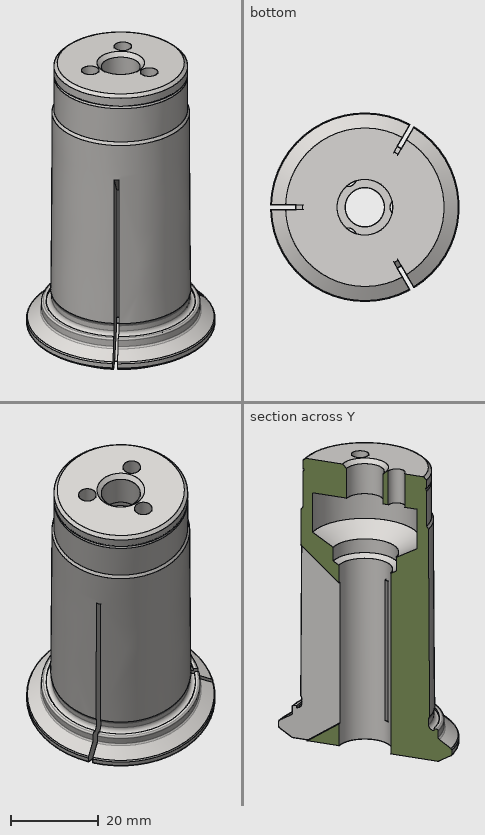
import cadquery as cq
import math

LENGTH = 70.0
FLANGE_RADIUS = 21.5

FLANGE_FACE_RADIUS = 18.05
FLANGE_RIM_BOTTOM = 1.95
FLANGE_RIM_TOP = 3.8
RIM_EDGE_WIDTH = 0.2
RIM_EDGE_HEIGHT = 0.35
COLLAR_RADIUS = 36.2 / 2
COLLAR_BOTTOM = 5.75
COLLAR_FILLET = 0.55
COLLAR_TOP = 8.05
COLLAR_ROUND = 0.4

NECK_RADIUS = 15.75
NECK_BOTTOM = 8.8
NECK_FILLET = 1.25
NECK_TOP = 10.15
NECK_LIP_WIDTH = 0.1
NECK_LIP_HEIGHT = 0.3

BODY_BOTTOM_RADIUS = 32.0 / 2
BODY_BOTTOM = 10.85
BODY_TOP_RADIUS = 31.4 / 2
BODY_TOP = 57.2
SHOULDER_HEIGHT = 0.7

HEAD_RADIUS = 30.5 / 2
HEAD_TOP_RADIUS = 29.0 / 2
HEAD_CHAMFER_HEIGHT = 0.7
HEAD_GROOVE_RADIUS = 15.0
HEAD_GROOVE_TOP = 67.2
HEAD_GROOVE_BOTTOM = 66.6

GRIP_RADIUS = 12.7 / 2
GRIP_TOP = 44.8
RELIEF_RADIUS = 15.5 / 2
RELIEF_TOP = 49.0
CHAMBER_RADIUS = 25.6 / 2
CHAMBER_TOP = 61.6
FUNNEL_ANGLE = 30.0
SCREW_RADIUS = 8.9 / 2
SCREW_CHAMFER = 1.0

COOLANT_COUNT = 3
COOLANT_DIAMETER = 4.0
COOLANT_CIRCLE_RADIUS = 7.8

SLOT_COUNT = 3
SLOT_FIRST_ANGLE = 60.0
SLOT_WIDTH = 1.05
SLOT_TOP = 48.3
SLOT_INNER_BOTTOM = 5.5
SLOT_INNER_TOP = 40.3
SLOT_FLOOR_RADIUS = 28.5 / 2
SLOT_ROOF_RADIUS = 15.8
SLOT_OUTER_RADIUS = FLANGE_RADIUS + 0.7


def revolve(outline):
    """Turn a closed outline of radius and height about the Z axis."""
    return outline.revolve(360, (0, 0, 0), (0, 1, 0))


def make_outside():
    rim_inner = FLANGE_RADIUS - RIM_EDGE_WIDTH
    flank_angle = math.atan2(COLLAR_BOTTOM - FLANGE_RIM_TOP, rim_inner - COLLAR_RADIUS)
    tangent_length = COLLAR_FILLET * math.tan((math.pi / 2 - flank_angle) / 2)
    outline = (
        cq.Workplane("XZ")
        .lineTo(FLANGE_FACE_RADIUS, 0)
        .lineTo(rim_inner, FLANGE_RIM_BOTTOM)
        .lineTo(FLANGE_RADIUS, FLANGE_RIM_BOTTOM + RIM_EDGE_HEIGHT)
        .lineTo(FLANGE_RADIUS, FLANGE_RIM_TOP - RIM_EDGE_HEIGHT)
        .lineTo(rim_inner, FLANGE_RIM_TOP)
        .lineTo(
            COLLAR_RADIUS + tangent_length * math.cos(flank_angle),
            COLLAR_BOTTOM - tangent_length * math.sin(flank_angle),
        )
        .tangentArcPoint((COLLAR_RADIUS, COLLAR_BOTTOM + tangent_length), relative=False)
        .lineTo(COLLAR_RADIUS, COLLAR_TOP - COLLAR_ROUND)
        .tangentArcPoint((COLLAR_RADIUS - COLLAR_ROUND, COLLAR_TOP), relative=False)
        .lineTo(NECK_RADIUS + NECK_FILLET, COLLAR_TOP)
        .lineTo(NECK_RADIUS + NECK_FILLET, NECK_BOTTOM - NECK_FILLET)
        .radiusArc((NECK_RADIUS, NECK_BOTTOM), NECK_FILLET)
        .lineTo(NECK_RADIUS, NECK_TOP)
        .lineTo(NECK_RADIUS + NECK_LIP_WIDTH, NECK_TOP + NECK_LIP_HEIGHT)
        .lineTo(BODY_BOTTOM_RADIUS, BODY_BOTTOM)
        .lineTo(BODY_TOP_RADIUS, BODY_TOP)
        .lineTo(HEAD_RADIUS, BODY_TOP + SHOULDER_HEIGHT)
        .lineTo(HEAD_RADIUS, HEAD_GROOVE_BOTTOM)
        .lineTo(HEAD_GROOVE_RADIUS, HEAD_GROOVE_TOP)
        .lineTo(HEAD_RADIUS, HEAD_GROOVE_TOP)
        .lineTo(HEAD_RADIUS, LENGTH - HEAD_CHAMFER_HEIGHT)
        .lineTo(HEAD_TOP_RADIUS, LENGTH)
        .lineTo(0, LENGTH)
        .close()
    )
    return revolve(outline)


def make_bore():
    slope = math.tan(math.radians(FUNNEL_ANGLE))
    step_rise = (RELIEF_RADIUS - GRIP_RADIUS) * slope
    funnel_rise = (CHAMBER_RADIUS - RELIEF_RADIUS) * slope
    points = [
        (0, 0),
        (GRIP_RADIUS, 0),
        (GRIP_RADIUS, GRIP_TOP),
        (RELIEF_RADIUS, GRIP_TOP + step_rise),
        (RELIEF_RADIUS, RELIEF_TOP),
        (CHAMBER_RADIUS, RELIEF_TOP + funnel_rise),
        (CHAMBER_RADIUS, CHAMBER_TOP),
        (SCREW_RADIUS, CHAMBER_TOP),
        (SCREW_RADIUS, LENGTH - SCREW_CHAMFER),
        (SCREW_RADIUS + SCREW_CHAMFER, LENGTH),
        (0, LENGTH),
    ]
    return revolve(cq.Workplane("XZ").polyline(points).close())


def make_coolant_holes():
    return (
        cq.Workplane("XY", origin=(0, 0, CHAMBER_TOP))
        .polarArray(COOLANT_CIRCLE_RADIUS, 0, 360, COOLANT_COUNT)
        .circle(COOLANT_DIAMETER / 2)
        .extrude(LENGTH - CHAMBER_TOP)
    )


def make_slot(angle):
    return (
        cq.Workplane("XZ")
        .moveTo(0, SLOT_INNER_BOTTOM)
        .lineTo(GRIP_RADIUS, SLOT_INNER_BOTTOM)
        .lineTo(SLOT_FLOOR_RADIUS, 0)
        .lineTo(SLOT_OUTER_RADIUS, 0)
        .lineTo(SLOT_OUTER_RADIUS, SLOT_TOP)
        .lineTo(SLOT_ROOF_RADIUS, SLOT_TOP)
        .lineTo(GRIP_RADIUS, SLOT_INNER_TOP)
        .lineTo(0, SLOT_INNER_TOP)
        .close()
        .extrude(SLOT_WIDTH / 2, both=True)
        .rotate((0, 0, 0), (0, 0, 1), angle)
    )


result = make_outside().cut(make_bore()).cut(make_coolant_holes())
for index in range(SLOT_COUNT):
    result = result.cut(make_slot(SLOT_FIRST_ANGLE + index * 360 / SLOT_COUNT))